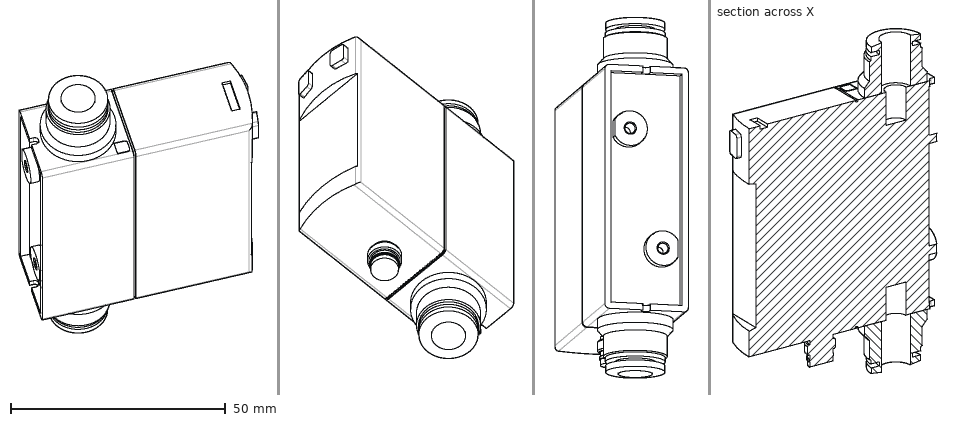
import cadquery as cq

housing_width = 20.0
housing_height = 58.0
half_width = housing_width / 2
half_height = housing_height / 2
edge_radius = 1.1
back_crown_y = 52.65
back_shoulder_y = 50.7

groove_front_y = 22.2
groove_width = 0.5
groove_depth = 0.4

pocket_wall = 1.5
pocket_depth = 2.1
boss_diameter = 8.2
boss_x = 3.9
boss_z = 14.1
boss_flat_x = 7.55
boss_hole_diameter = 2.4
boss_hole_depth = 5.0
boss_hole_chamfer = 0.25
wall_slot_width = 1.85
wall_slot_depth = 1.9

recess_floor_y = 50.7
recess_top_z = 14.4
recess_bottom_z = -22.0
recess_end_slope = 0.4

button_inner_x = 3.6
button_outer_x = 7.5
button_inner_y = 53.65
button_outer_y = 53.1
button_root_y = 49.9
button_bottom_z = 20.1
button_height = 6.0
button_edge_radius = 0.7

top_slot_length = 8.4
top_slot_width = 2.0
top_slot_y = 48.55
top_slot_depth = 0.8

label_size = 3.1
label_x = 7.2
label_y = 20.1
label_corner_radius = 0.7
label_depth = 0.2

fitting_y = 11.5
bore_diameter = 8.0
port_diameter = 5.5
port_depth = 8.4
flange_diameter = 17.7
flange_height = 2.4
barrel_diameter = 14.9
barrel_start = 3.9
barrel_end = 8.8
rim_diameter = 14.0
rim_start = 9.05
rim_end = 10.1
neck_diameter = 9.4
collar_diameter = 13.8
collar_start = 11.0
collar_end = 12.5
overall_height = 83.8
fitting_height = overall_height / 2 - half_height

connector_y = 32.4
connector_diameter = 6.5
connector_length = 6.7
connector_collar_diameter = 8.0
connector_collar_start = 0.9
connector_collar_end = 3.6
connector_collar_chamfer = 0.3
connector_ring_diameter = 6.9
connector_ring_start = 4.7
connector_ring_end = 5.4


def box_between(x_range, y_range, z_range):
    """Box spanning the given (low, high) ranges."""
    (x0, x1), (y0, y1), (z0, z1) = x_range, y_range, z_range
    return cq.Workplane("XY").box(x1 - x0, y1 - y0, z1 - z0, centered=False).translate((x0, y0, z0))


def revolved(profile, x, y):
    """Solid of revolution about the vertical line through (x, y), from (radius, z) points."""
    turned = cq.Workplane("XZ").polyline(profile).close().revolve(360, (0, 0), (0, 1))
    return turned.translate((x, y, 0))


def front_block():
    block = box_between((-half_width, half_width), (0, groove_front_y), (-half_height, half_height))
    return block.edges("|Y").fillet(edge_radius)


def rear_block():
    """Block with an arched back; its side edges and its back corners are rounded."""
    start_y = groove_front_y + groove_width
    block = (
        cq.Workplane("XY", origin=(0, 0, -half_height))
        .moveTo(-half_width, start_y)
        .lineTo(half_width, start_y)
        .lineTo(half_width, back_shoulder_y)
        .threePointArc((0, back_crown_y), (-half_width, back_shoulder_y))
        .close()
        .extrude(housing_height)
    )
    return block.edges("|Y or (|Z and (not <Y))").fillet(edge_radius)


def groove_neck():
    """Core of the parting groove, reaching slightly into both blocks."""
    x = half_width - groove_depth
    z = half_height - groove_depth
    y_range = (groove_front_y - groove_depth, groove_front_y + groove_width + groove_depth)
    return box_between((-x, x), y_range, (-z, z)).edges("|Y").fillet(edge_radius - groove_depth)


def front_pocket():
    x = half_width - pocket_wall
    z = half_height - pocket_wall
    return box_between((-x, x), (0, pocket_depth), (-z, z))


def boss(side):
    """Drilled boss standing in the pocket; side is +1 for the right one, -1 for the left one."""
    pad = cq.Workplane("XZ").circle(boss_diameter / 2).extrude(-pocket_depth)
    pad = pad.translate((side * boss_x, 0, -side * boss_z))
    keep = box_between((-boss_flat_x, boss_flat_x), (0, pocket_depth), (-half_height, half_height))
    return pad.intersect(keep)


def boss_hole(side):
    radius = boss_hole_diameter / 2
    hole = cq.Workplane("XZ").circle(radius).extrude(-boss_hole_depth)
    mouth = cq.Solid.makeCone(
        radius + boss_hole_chamfer, radius, boss_hole_chamfer, cq.Vector(0, 0, 0), cq.Vector(0, 1, 0)
    )
    return hole.union(cq.Workplane(mouth)).translate((side * boss_x, 0, -side * boss_z))


def wall_slots():
    """Round-ended slot running through both end walls of the pocket."""
    radius = wall_slot_width / 2
    straight = wall_slot_depth - radius
    inner_z = half_height - pocket_wall
    between_walls = box_between((-radius, radius), (0, pocket_depth), (-inner_z, inner_z))
    return (
        cq.Workplane("XY", origin=(0, 0, -half_height))
        .moveTo(-radius, 0)
        .lineTo(radius, 0)
        .lineTo(radius, straight)
        .threePointArc((0, wall_slot_depth), (-radius, straight))
        .close()
        .extrude(housing_height)
        .cut(between_walls)
    )


def back_recess():
    profile = [
        (recess_floor_y, recess_bottom_z),
        (recess_floor_y, recess_top_z),
        (back_crown_y, recess_top_z + recess_end_slope),
        (back_crown_y, recess_bottom_z - recess_end_slope),
    ]
    return cq.Workplane("YZ").polyline(profile).close().extrude(half_width, both=True)


def button(side):
    """Slanted button on the arched back; it starts inside the housing."""
    profile = [
        (side * button_inner_x, button_root_y),
        (side * button_inner_x, button_inner_y),
        (side * button_outer_x, button_outer_y),
        (side * button_outer_x, button_root_y),
    ]
    pad = cq.Workplane("XY", origin=(0, 0, button_bottom_z)).polyline(profile).close().extrude(button_height)
    return pad.edges("|Y").fillet(button_edge_radius)


def top_slot():
    outline = cq.Workplane("XY", origin=(0, top_slot_y, half_height)).rect(top_slot_length, top_slot_width)
    return outline.extrude(-top_slot_depth)


def label_recess():
    outline = cq.Workplane("XY", origin=(label_x, label_y, half_height)).rect(label_size, label_size)
    return outline.extrude(-label_depth).edges("|Z and >Y").fillet(label_corner_radius)


def port(side):
    hole = cq.Workplane("XY").circle(port_diameter / 2).extrude(-side * port_depth)
    return hole.translate((0, fitting_y, side * half_height))


def connector():
    radius = connector_diameter / 2
    collar_radius = connector_collar_diameter / 2
    ring_radius = connector_ring_diameter / 2
    steps = [
        (radius, 0),
        (radius, connector_collar_start),
        (collar_radius - connector_collar_chamfer, connector_collar_start),
        (collar_radius, connector_collar_start + connector_collar_chamfer),
        (collar_radius, connector_collar_end - connector_collar_chamfer),
        (collar_radius - connector_collar_chamfer, connector_collar_end),
        (radius, connector_collar_end),
        (radius, connector_ring_start),
        (ring_radius, connector_ring_start),
        (ring_radius, connector_ring_end),
        (radius, connector_ring_end),
        (radius, connector_length),
        (0, connector_length),
        (0, 0),
    ]
    return revolved([(r, -half_height - depth) for r, depth in steps], 0, connector_y)


def make_housing():
    body = front_block().union(groove_neck()).union(rear_block())
    body = body.cut(front_pocket()).cut(wall_slots()).cut(back_recess())
    body = body.cut(top_slot()).cut(label_recess()).union(connector())
    for side in (-1, 1):
        body = body.union(boss(side)).cut(boss_hole(side))
        body = body.union(button(side)).cut(port(side))
    return body


def make_fitting(side):
    """Push-in fitting standing on the top (side = 1) or bottom (side = -1) face of the housing."""
    bore_radius = bore_diameter / 2
    steps = [
        (bore_radius, 0),
        (flange_diameter / 2, 0),
        (flange_diameter / 2, flange_height),
        (barrel_diameter / 2, barrel_start),
        (barrel_diameter / 2, barrel_end),
        (rim_diameter / 2, rim_start),
        (rim_diameter / 2, rim_end),
        (neck_diameter / 2, rim_end),
        (neck_diameter / 2, collar_start),
        (collar_diameter / 2, collar_start),
        (collar_diameter / 2, collar_end),
        (bore_radius, fitting_height),
    ]
    return revolved([(r, side * (half_height + height)) for r, height in steps], 0, fitting_y)


housing = make_housing()
fittings = [make_fitting(side) for side in (-1, 1)]

result = cq.Compound.makeCompound([housing.val(), *[fitting.val() for fitting in fittings]])